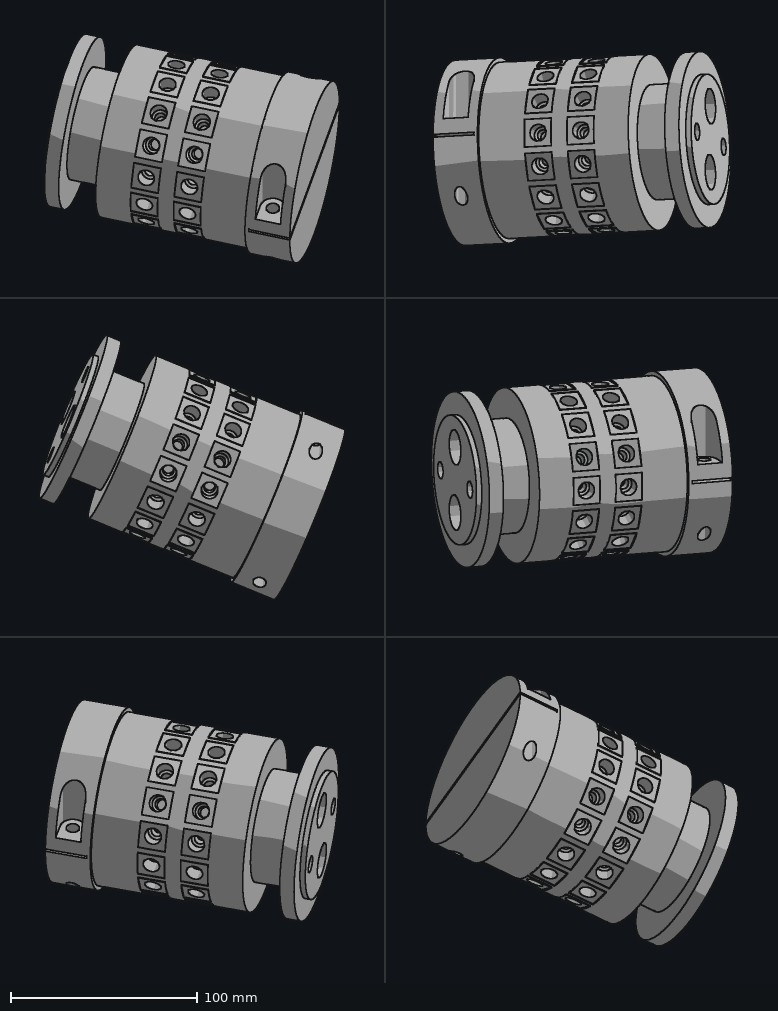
import cadquery as cq
import math

pilot_end, pilot_diameter = 3.0, 70.0
flange_end, flange_diameter = 11.0, 95.0
neck_end, neck_diameter = 31.5, 62.0
barrel_end, barrel_diameter = 115.5, 95.0
total_length, clamp_diameter = 140.5, 100.0

drill_tip_angle = 118.0

pad_count = 16
pad_length = 15.0
pad_width = 15.1
pad_clearance = 2.0
pad_depth = 1.0
flat_height = barrel_diameter / 2 - pad_depth
pad_row_start = 51.0
pad_row_pitch = 24.0
pad_row_count = 2
pad_hole_diameter = 9.0
pad_hole_depth = 8.0
pad_pilot_diameter = 6.0
pad_pilot_depth = 15.0

port_diameter = 19.0
port_offset = 18.0
port_depth = 40.0
channel_diameter = 15.0
channel_offset = 16.6
channel_depth = 60.0
screw_hole_diameter = 9.0
screw_hole_offset = 24.0
screw_hole_depth = 20.0

slot_start = 117.5
slot_bottom = 0.0
slot_width = 1.5
bolt_x = (barrel_end + total_length) / 2
bolt_offset = 39.0
bolt_hole_diameter = 7.0
bolt_pocket_width = 14.0
bolt_pocket_floor = 10.0
clamp_radius = clamp_diameter / 2


def body():
    """Coaxial cylinders stacked along X."""
    sections = [
        (pilot_end, pilot_diameter),
        (flange_end, flange_diameter),
        (neck_end, neck_diameter),
        (barrel_end, barrel_diameter),
        (total_length, clamp_diameter),
    ]
    solid = cq.Workplane("XY")
    start = 0.0
    for end, diameter in sections:
        section = cq.Workplane("YZ").workplane(offset=start).circle(diameter / 2).extrude(end - start)
        solid = solid.union(section)
        start = end
    return solid


def drilled_hole(diameter, depth):
    """Cutter for a drilled hole along X from the origin, ending in a drill cone."""
    radius = diameter / 2
    tip_length = radius / math.tan(math.radians(drill_tip_angle / 2))
    profile = [(0, 0), (depth + tip_length, 0), (depth, radius), (0, radius)]
    return cq.Workplane("XY").polyline(profile).close().revolve(360, (0, 0, 0), (1, 0, 0))


def pad_cutter(x):
    """Cutter for one pad on top of the barrel: flat, drilled hole and smaller pilot hole."""
    pad_plane = cq.Workplane("XY", origin=(x, 0, flat_height))
    flat = pad_plane.rect(pad_length, pad_width).extrude(pad_clearance)
    drill = drilled_hole(pad_hole_diameter, pad_hole_depth)
    drill = drill.rotate((0, 0, 0), (0, 1, 0), 90).translate((x, 0, flat_height))
    pilot = pad_plane.circle(pad_pilot_diameter / 2).extrude(-pad_pilot_depth)
    return flat.union(drill).union(pilot)


def cut_pads(solid):
    """Rows of pads spread evenly around the barrel."""
    for row in range(pad_row_count):
        cutter = pad_cutter(pad_row_start + pad_length / 2 + row * pad_row_pitch)
        for index in range(pad_count):
            angle = index * 360 / pad_count
            solid = solid.cut(cutter.rotate((0, 0, 0), (1, 0, 0), angle))
    return solid


def cut_face_holes(solid):
    """Two ports with offset channels above and below the axis, two screw holes beside it."""
    port = drilled_hole(port_diameter, port_depth)
    channel = cq.Workplane("YZ").circle(channel_diameter / 2).extrude(channel_depth)
    screw_hole = drilled_hole(screw_hole_diameter, screw_hole_depth)
    for side in (-1, 1):
        solid = solid.cut(port.translate((0, 0, side * port_offset)))
        solid = solid.cut(channel.translate((0, 0, side * channel_offset)))
        solid = solid.cut(screw_hole.translate((0, side * screw_hole_offset, 0)))
    return solid


def cut_clamp(solid):
    """Slot across the clamp, with a bolt hole and an open-sided head pocket on each side."""
    slot = cq.Workplane("XY", origin=(slot_start, 0, slot_bottom)).box(
        total_length - slot_start, clamp_diameter, slot_width, centered=(False, True, False)
    )
    solid = solid.cut(slot)
    pocket_height = clamp_radius - bolt_pocket_floor
    opening_length = clamp_radius - bolt_offset
    for side in (-1, 1):
        y = side * bolt_offset
        hole = cq.Workplane("XY", origin=(bolt_x, y, -clamp_radius))
        hole = hole.circle(bolt_hole_diameter / 2).extrude(clamp_diameter)
        floor = cq.Workplane("XY", origin=(bolt_x, y, bolt_pocket_floor))
        rounded_end = floor.circle(bolt_pocket_width / 2).extrude(pocket_height)
        opening = floor.center(0, side * opening_length / 2)
        opening = opening.rect(bolt_pocket_width, opening_length).extrude(pocket_height)
        solid = solid.cut(hole).cut(rounded_end).cut(opening)
    return solid


result = cut_clamp(cut_face_holes(cut_pads(body())))